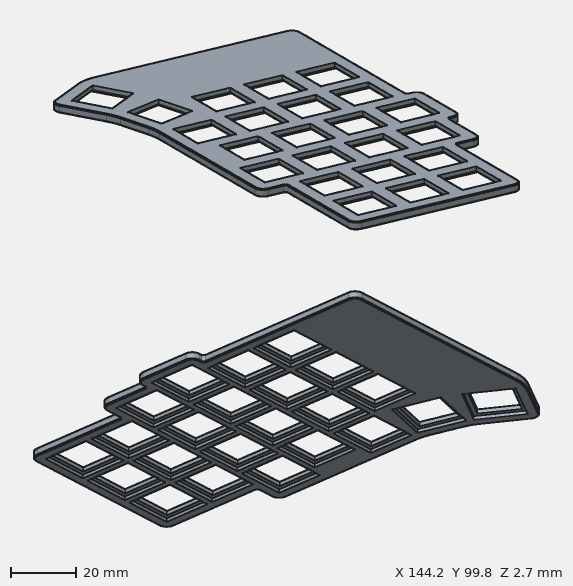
import cadquery as cq
import math

length = 144.2
thickness = 2.7
key_pitch = 19.0
column_count = 6
key_hole = 14.0
rim = 4.9
edge_chamfer = 0.36
relief_depth = 1.23
relief_margin = 1.5
corner_radius = 3.0
notch_radius = 0.9
thumb_bend_radius = 20.2
side_bend_radius = 14.4

middle_raise = key_pitch / 4
outer_drop = -key_pitch / 2
main_rows = 4
outer_rows = 3

key_reach = key_hole / 2 + rim
first_column_x = length - key_reach - (column_count - 1) * key_pitch
column_x = [first_column_x + i * key_pitch for i in range(column_count)]

columns = [
    (1, main_rows - 1, 0),
    (0, main_rows, 0),
    (0, main_rows, middle_raise),
    (0, main_rows, 0),
    (1, outer_rows, outer_drop),
    (1, outer_rows, outer_drop),
]

inner_thumb_tilt = 15
outer_thumb_tilt = 30
inner_thumb = (first_column_x - 2.2, -2.6)
outer_thumb = (first_column_x - 21.8, -11.0)


def offset_point(centre, tilt, along, across):
    """Point at (along, across) in the frame of a tilted key."""
    angle = math.radians(tilt)
    x = centre[0] + along * math.cos(angle) - across * math.sin(angle)
    y = centre[1] + along * math.sin(angle) + across * math.cos(angle)
    return (x, y)


def meet(point_a, tilt_a, point_b, tilt_b):
    """Crossing point of two lines, each given by a point and a direction in degrees."""
    ax, ay = math.cos(math.radians(tilt_a)), math.sin(math.radians(tilt_a))
    bx, by = math.cos(math.radians(tilt_b)), math.sin(math.radians(tilt_b))
    gap_x, gap_y = point_b[0] - point_a[0], point_b[1] - point_a[1]
    travel = (gap_x * by - gap_y * bx) / (ax * by - ay * bx)
    return (point_a[0] + travel * ax, point_a[1] + travel * ay)


main_bottom = -key_reach
main_top = (main_rows - 1) * key_pitch + key_reach
tab_top = main_top + middle_raise
tab_left = column_x[2] - key_reach
tab_right = column_x[2] + key_reach
main_right = column_x[3] + key_reach
outer_bottom = key_pitch + outer_drop - key_reach
outer_top = outer_rows * key_pitch + outer_drop + key_reach

inner_thumb_edge = offset_point(inner_thumb, inner_thumb_tilt, 0, -key_reach)
outer_thumb_edge = offset_point(outer_thumb, outer_thumb_tilt, 0, -key_reach)
thumb_tip = offset_point(outer_thumb, outer_thumb_tilt, -key_reach, -key_reach)
side_bend = meet((0, 0), 90, thumb_tip, outer_thumb_tilt + 90)
thumb_bend = meet(inner_thumb_edge, inner_thumb_tilt, outer_thumb_edge, outer_thumb_tilt)
bottom_bend = meet((0, main_bottom), 0, inner_thumb_edge, inner_thumb_tilt)

outline = [
    (side_bend, side_bend_radius),
    (thumb_tip, corner_radius),
    (thumb_bend, thumb_bend_radius),
    (bottom_bend, thumb_bend_radius),
    ((main_right, main_bottom), corner_radius),
    ((main_right, outer_bottom), notch_radius),
    ((length, outer_bottom), corner_radius),
    ((length, outer_top), corner_radius),
    ((main_right, outer_top), notch_radius),
    ((main_right, main_top), corner_radius),
    ((tab_right, main_top), notch_radius),
    ((tab_right, tab_top), corner_radius),
    ((tab_left, tab_top), corner_radius),
    ((tab_left, main_top), notch_radius),
    ((0, main_top), corner_radius),
]


def make_plate():
    """Solid plate with rounded outline corners and chamfered top and bottom edges."""
    plate = cq.Workplane("XY").polyline([point for point, _ in outline]).close().extrude(thickness)
    for (x, y), radius in outline:
        corner = cq.selectors.NearestToPointSelector((x, y, thickness / 2))
        plate = plate.edges("|Z").edges(corner).fillet(radius)
    return plate.faces("<Z or >Z").edges().chamfer(edge_chamfer)


def key_cutter(centre, tilt=0):
    """Through hole for one key, with a wider square relief on the underside."""
    relief_size = key_hole + 2 * relief_margin
    hole = cq.Workplane("XY").rect(key_hole, key_hole).extrude(thickness)
    relief = cq.Workplane("XY").rect(relief_size, relief_size).extrude(relief_depth)
    cutter = hole.union(relief)
    return cutter.rotate((0, 0, 0), (0, 0, 1), tilt).translate((centre[0], centre[1], 0))


result = make_plate()

for x, (bottom_row, rows, shift) in zip(column_x, columns):
    for row in range(bottom_row, bottom_row + rows):
        result = result.cut(key_cutter((x, row * key_pitch + shift)))

result = result.cut(key_cutter(inner_thumb, inner_thumb_tilt))
result = result.cut(key_cutter(outer_thumb, outer_thumb_tilt))